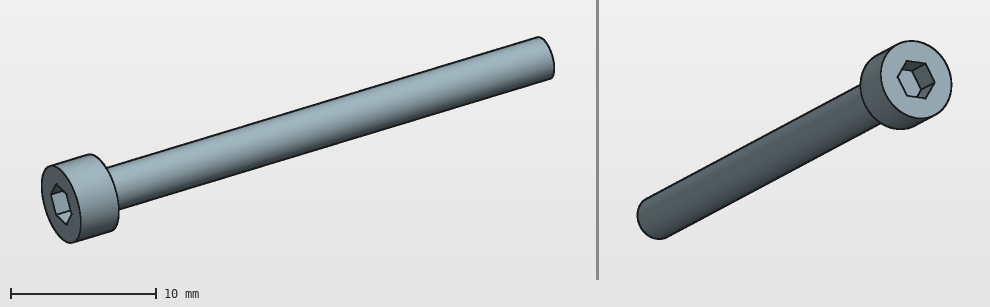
import cadquery as cq
import math

HEAD_DIAMETER = 5.5
HEAD_HEIGHT = 3.0
SHANK_DIAMETER = 3.0
SHANK_LENGTH = 35.0
SOCKET_ACROSS_FLATS = 2.5
SOCKET_DEPTH = 2.0

HEX_SIDES = 6
SOCKET_ACROSS_CORNERS = SOCKET_ACROSS_FLATS / math.cos(math.pi / HEX_SIDES)


def plane_facing_plus_y(y):
    """Work plane at the given Y, extruding toward +Y."""
    return cq.Workplane("XZ", origin=(0, y, 0)).transformed(rotate=(180, 0, 0))


def make_head():
    """Cylindrical head, its underside at Y = 0."""
    return plane_facing_plus_y(-HEAD_HEIGHT).circle(HEAD_DIAMETER / 2).extrude(HEAD_HEIGHT)


def make_shank():
    """Plain cylindrical shank running from the head underside toward +Y."""
    return plane_facing_plus_y(0).circle(SHANK_DIAMETER / 2).extrude(SHANK_LENGTH)


def make_socket():
    """Blind hexagonal socket with two corners on the X axis."""
    return plane_facing_plus_y(-HEAD_HEIGHT).polygon(HEX_SIDES, SOCKET_ACROSS_CORNERS).extrude(SOCKET_DEPTH)


result = make_head().union(make_shank()).cut(make_socket())